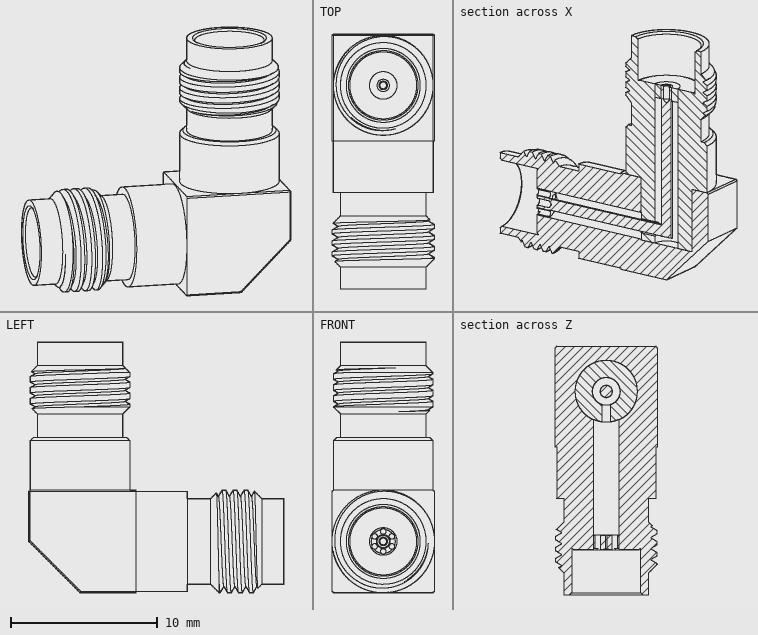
import cadquery as cq
import math

BLOCK_SIZE = 7.0
BLOCK_HALF = BLOCK_SIZE / 2
BLOCK_FRONT = 3.8
EDGE_BEVEL = 0.1

BARREL_LENGTH = 10.07
NOSE_RADIUS = 2.92
THREAD_CENTER_DROP = 3.24
THREAD_HALF_CREST = 1.165
THREAD_PITCH = 0.75
THREAD_ROOT_RADIUS = 3.07
THREAD_HALF_ANGLE = 30.0
GROOVE_TURNS = 5
GROOVE_OVERCUT = 0.1
MOUTH_RADIUS = 2.37
MOUTH_BEVEL = 0.15
MATING_FACE_DROP = 3.08
MATING_FACE_BEVEL = 0.09

TOP_BARREL_RADIUS = 3.4
TOP_SHOULDER_DROP = 6.49
TOP_SHOULDER_BEVEL = 0.22
PICK_MARGIN = 0.1
TOP_GROOVE_DROP = 2.34
TOP_TIP = BLOCK_HALF + BARREL_LENGTH
TOP_SHOULDER = TOP_TIP - TOP_SHOULDER_DROP
SHANK_RADIUS = 2.1
SHANK_BOTTOM = -1.0

FRONT_BARREL_RADIUS = 3.42
FRONT_CREST_RADIUS = BLOCK_HALF
FRONT_SHOULDER_DROP = 6.56
FRONT_GROOVE_DROP = 2.39
FRONT_TIP = BLOCK_FRONT + BARREL_LENGTH
FRONT_SHOULDER = FRONT_TIP - FRONT_SHOULDER_DROP

BEAD_RADIUS = 0.94
BEAD_THICKNESS = 1.0
BEAD_RIM_WIDTH = 0.12
BEAD_RIM_DEPTH = 0.1
BEAD_HOLE_COUNT = 6
BEAD_HOLE_RADIUS = 0.19
BEAD_HOLE_CIRCLE = 0.68
BEAD_BORE_BEVEL = 0.05

CONTACT_RADIUS = 0.42
SOCKET_RADIUS = 0.23
SOCKET_BEVEL = 0.06
SOCKET_DEPTH = 1.0
SOCKET_TIP_DEPTH = 0.2
CONTACT_PASSAGE_RADIUS = 0.5


def turn_to_front(shape):
    """Swing a shape built along +Z so that it points along -Y."""
    return shape.rotate((0, 0, 0), (1, 0, 0), 90)


def cylinder(radius, bottom, top):
    return cq.Workplane("XY").workplane(offset=bottom).circle(radius).extrude(top - bottom)


def groove_turn(start, crest_radius):
    """One turn of the V-shaped, right-handed thread groove, starting on the +X side."""
    outer = crest_radius + GROOVE_OVERCUT
    half_width = (outer - THREAD_ROOT_RADIUS) * math.tan(math.radians(THREAD_HALF_ANGLE))
    helix = cq.Wire.makeHelix(THREAD_PITCH, THREAD_PITCH, THREAD_ROOT_RADIUS)
    turn = (
        cq.Workplane("XZ")
        .moveTo(THREAD_ROOT_RADIUS, 0)
        .lineTo(outer, half_width)
        .lineTo(outer, -half_width)
        .close()
        .sweep(cq.Workplane(helix), isFrenet=True)
    )
    return turn.translate((0, 0, start))


def barrel_outside(tip, bottom, shoulder, barrel_radius, crest_radius, groove_drop):
    """Threaded outside of a connector end, standing along +Z."""
    thread_center = tip - THREAD_CENTER_DROP
    thread_half_length = THREAD_HALF_CREST + crest_radius - NOSE_RADIUS
    body = (
        cq.Workplane("XZ")
        .moveTo(0, bottom)
        .lineTo(barrel_radius, bottom)
        .lineTo(barrel_radius, shoulder)
        .lineTo(NOSE_RADIUS, shoulder)
        .lineTo(NOSE_RADIUS, thread_center - thread_half_length)
        .lineTo(crest_radius, thread_center - THREAD_HALF_CREST)
        .lineTo(crest_radius, thread_center + THREAD_HALF_CREST)
        .lineTo(NOSE_RADIUS, thread_center + thread_half_length)
        .lineTo(NOSE_RADIUS, tip)
        .lineTo(0, tip)
        .close()
        .revolve(360, (0, 0), (0, 1))
    )
    for turn in range(GROOVE_TURNS):
        start = tip - groove_drop - turn * THREAD_PITCH
        body = body.cut(groove_turn(start, crest_radius))
    return body


def mouth_cutter(tip):
    """Bevelled bore whose floor leaves a raised mating face with a bevelled edge."""
    face = tip - MATING_FACE_DROP
    return (
        cq.Workplane("XZ")
        .moveTo(0, face)
        .lineTo(MOUTH_RADIUS - MATING_FACE_BEVEL, face)
        .lineTo(MOUTH_RADIUS, face - MATING_FACE_BEVEL)
        .lineTo(MOUTH_RADIUS, tip - MOUTH_BEVEL)
        .lineTo(MOUTH_RADIUS + MOUTH_BEVEL, tip)
        .lineTo(0, tip)
        .close()
        .revolve(360, (0, 0), (0, 1))
    )


def elbow_block():
    """Block with its lower back corner cut off and bevels around both side faces."""
    block = (
        cq.Workplane("YZ")
        .moveTo(-BLOCK_FRONT, -BLOCK_HALF)
        .lineTo(0, -BLOCK_HALF)
        .lineTo(BLOCK_HALF, 0)
        .lineTo(BLOCK_HALF, BLOCK_HALF)
        .lineTo(-BLOCK_FRONT, BLOCK_HALF)
        .close()
        .extrude(BLOCK_HALF, both=True)
    )
    side_edges = block.faces("<X or >X").edges("not <Y")
    back_top_edge = block.edges(">Y and >Z")
    return block.newObject(side_edges.vals() + back_top_edge.vals()).chamfer(EDGE_BEVEL)


def make_housing():
    barrel = barrel_outside(
        FRONT_TIP,
        BLOCK_FRONT,
        FRONT_SHOULDER,
        FRONT_BARREL_RADIUS,
        FRONT_CREST_RADIUS,
        FRONT_GROOVE_DROP,
    )
    housing = elbow_block().union(turn_to_front(barrel))
    housing = housing.cut(turn_to_front(mouth_cutter(FRONT_TIP)))
    housing = housing.cut(turn_to_front(cylinder(BEAD_RADIUS, 0, FRONT_TIP)))
    return housing.cut(cylinder(SHANK_RADIUS, SHANK_BOTTOM, BLOCK_HALF))


def make_top_barrel():
    barrel = barrel_outside(
        TOP_TIP, BLOCK_HALF, TOP_SHOULDER, TOP_BARREL_RADIUS, TOP_BARREL_RADIUS, TOP_GROOVE_DROP
    )
    shoulder_edge = cq.selectors.BoxSelector(
        (-BLOCK_SIZE, -BLOCK_SIZE, TOP_SHOULDER - PICK_MARGIN),
        (BLOCK_SIZE, BLOCK_SIZE, TOP_SHOULDER + PICK_MARGIN),
    )
    shoulder = barrel.edges(shoulder_edge).edges(cq.selectors.RadiusNthSelector(-1))
    barrel = shoulder.chamfer(TOP_SHOULDER_BEVEL)
    barrel = barrel.union(cylinder(SHANK_RADIUS, SHANK_BOTTOM, BLOCK_HALF))
    barrel = barrel.cut(mouth_cutter(TOP_TIP))
    barrel = barrel.cut(cylinder(BEAD_RADIUS, SHANK_BOTTOM, TOP_TIP))
    return barrel.cut(turn_to_front(cylinder(CONTACT_PASSAGE_RADIUS, 0, SHANK_RADIUS)))


def plain_bead(tip):
    face = tip - MATING_FACE_DROP
    bead = cylinder(BEAD_RADIUS, face - BEAD_THICKNESS, face)
    return bead.cut(cylinder(CONTACT_RADIUS, face - BEAD_THICKNESS, face))


def make_top_bead():
    return plain_bead(TOP_TIP)


def make_front_bead():
    """Bead with a lowered rim, a bevelled bore and a ring of through holes."""
    face = FRONT_TIP - MATING_FACE_DROP
    rim = cylinder(BEAD_RADIUS, face - BEAD_RIM_DEPTH, face).cut(
        cylinder(BEAD_RADIUS - BEAD_RIM_WIDTH, face - BEAD_RIM_DEPTH, face)
    )
    holes = (
        cq.Workplane("XY")
        .workplane(offset=face - BEAD_THICKNESS)
        .polarArray(BEAD_HOLE_CIRCLE, 90, 360, BEAD_HOLE_COUNT)
        .circle(BEAD_HOLE_RADIUS)
        .extrude(BEAD_THICKNESS)
    )
    bead = plain_bead(FRONT_TIP).faces(">Z").edges("%CIRCLE").edges(cq.selectors.RadiusNthSelector(0))
    bead = bead.chamfer(BEAD_BORE_BEVEL)
    return turn_to_front(bead.cut(rim).cut(holes))


def contact_socket(face):
    """Pin socket with a bevelled entry and a pointed bottom."""
    floor = face - SOCKET_DEPTH
    return (
        cq.Workplane("XZ")
        .moveTo(0, floor - SOCKET_TIP_DEPTH)
        .lineTo(SOCKET_RADIUS, floor)
        .lineTo(SOCKET_RADIUS, face - SOCKET_BEVEL)
        .lineTo(SOCKET_RADIUS + SOCKET_BEVEL, face)
        .lineTo(0, face)
        .close()
        .revolve(360, (0, 0), (0, 1))
    )


def make_contact():
    """Right-angle contact with a socket at both ends."""
    top_face = TOP_TIP - MATING_FACE_DROP
    front_face = FRONT_TIP - MATING_FACE_DROP
    upright = cylinder(CONTACT_RADIUS, -CONTACT_RADIUS, top_face)
    contact = upright.union(turn_to_front(cylinder(CONTACT_RADIUS, 0, front_face)))
    contact = contact.cut(contact_socket(top_face))
    return contact.cut(turn_to_front(contact_socket(front_face)))


housing = make_housing()
top_barrel = make_top_barrel()
front_bead = make_front_bead()
top_bead = make_top_bead()
contact = make_contact()

result = cq.Compound.makeCompound(
    [housing.val(), top_barrel.val(), front_bead.val(), top_bead.val(), contact.val()]
)